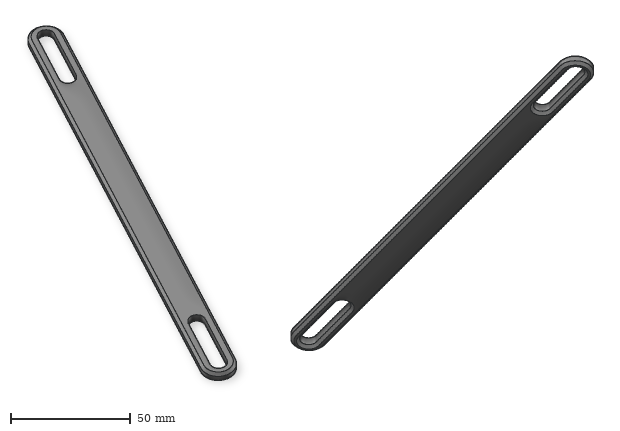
import cadquery as cq

length = 221.2
width = 15.5
thickness = 5.0
edge_chamfer = 1.3

slot_width = 7.5
slot_length = 33.5
slot_rim_chamfer = 1.3
end_wall = 3.5
slot_center = length / 2 - end_wall - slot_length / 2

bar = (
    cq.Workplane("XY")
    .workplane(offset=-thickness / 2)
    .slot2D(length, width)
    .extrude(thickness)
    .faces("|Z")
    .chamfer(edge_chamfer)
)

slotted_bar = (
    bar.faces(">Z")
    .workplane(origin=(0, 0, 0))
    .pushPoints([(-slot_center, 0), (slot_center, 0)])
    .slot2D(slot_length, slot_width)
    .cutThruAll()
)

underside = slotted_bar.faces("<Z").val()
slot_rims = [edge for wire in underside.innerWires() for edge in wire.Edges()]
result = slotted_bar.newObject(slot_rims).chamfer(slot_rim_chamfer)